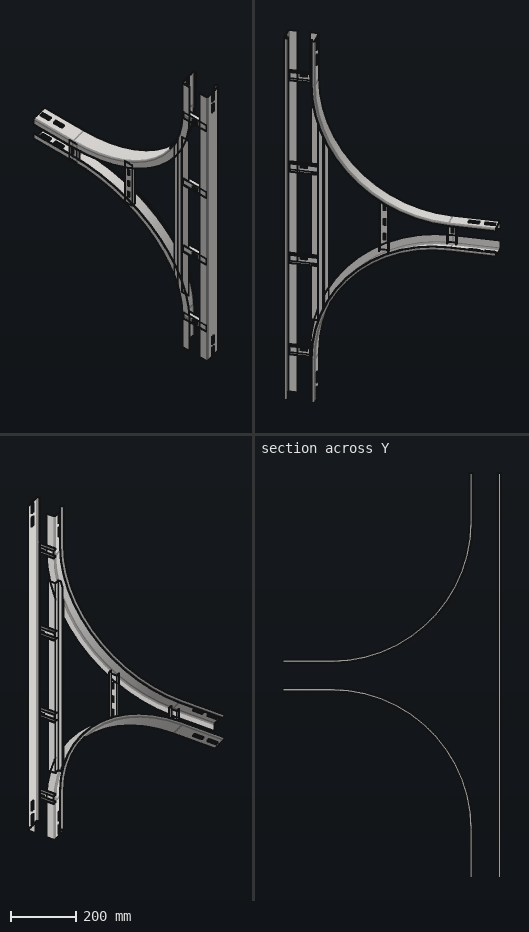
import cadquery as cq
import math


run_length = 1240.0
tray_width = 99.0
arm_length = 150.0
rail_opening = 56.0
rail_sheet = 2.0
rail_bend = 2.0
front_flange = 30.0
back_flange = 12.0
lip_depth = 10.0

rung_sheet = 1.5
rung_width = 30.0
rung_depth = 15.0
rung_end_gap = 6.0
rung_slot_length = 21.0
rung_slot_width = 6.0
rung_slot_pitch = 51.0
wide_rung_x = 365.0
wide_rung_length = 191.0

rail_slot_length = 32.0
rail_slot_width = 11.0
rail_slot_offsets = (25.0, 76.0)

brace_length = 727.0
brace_lip = 15.0
brace_groove = 14.0
brace_flange = 27.0
brace_depth = 19.0
brace_edge_gap = 4.0
inner_rung_lap = 22.0

rail_height = rail_opening + 2 * rail_sheet
curve_radius = run_length / 2 - tray_width / 2 - arm_length
near_web_x = arm_length + curve_radius
far_web_x = near_web_x + tray_width
curve_center_z = tray_width / 2 + curve_radius
seat_y = -rail_opening / 2
rung_pitch = 2 * curve_center_z / 3
brace_edge_x = near_web_x + front_flange - brace_edge_gap
slot_cut_depth = 4 * rail_sheet


def folded_section(path, sheet, bend_inner):
    """Face of a bent sheet: its thickness lies to the left of `path`, with every bend rounded."""
    bend_outer = bend_inner + sheet
    directions = []
    for (u0, v0), (u1, v1) in zip(path, path[1:]):
        length = math.hypot(u1 - u0, v1 - v0)
        directions.append(((u1 - u0) / length, (v1 - v0) / length))
    other_side = []
    for i, (u, v) in enumerate(path):
        legs = directions[max(i - 1, 0):i + 1]
        other_side.append((u - sheet * sum(d[1] for d in legs), v + sheet * sum(d[0] for d in legs)))
    corners = [cq.Vector(u, v) for u, v in path + other_side[::-1]]
    face = cq.Face.makeFromWires(cq.Wire.makePolygon(corners, close=True))
    for i in range(1, len(path) - 1):
        before, after = directions[i - 1], directions[i]
        turns_left = before[0] * after[1] - before[1] * after[0] > 0
        path_radius, other_radius = (bend_outer, bend_inner) if turns_left else (bend_inner, bend_outer)
        for point, radius in ((path[i], path_radius), (other_side[i], other_radius)):
            if radius > 0:
                face = round_corner(face, point, radius)
    return face


def round_corner(face, point, radius):
    target = cq.Vector(*point)
    corner = min(face.Vertices(), key=lambda vertex: (vertex.Center() - target).Length)
    return face.fillet2D(radius, [corner])


def place(face, origin, x_dir, normal):
    return face.moved(cq.Plane(origin=origin, xDir=x_dir, normal=normal).location)


def extrude_section(face, origin, x_dir, normal, length):
    section = place(face, origin, x_dir, normal)
    return cq.Workplane(cq.Solid.extrudeLinear(section, cq.Vector(*normal) * length))


def box_at(center, size):
    return cq.Workplane().box(*size).translate(center)


def rail_section():
    """C section: U runs from the web's outer face into the tray, V runs along Y."""
    top = rail_height / 2
    return folded_section([
        (back_flange, top - lip_depth),
        (back_flange, top),
        (0, top),
        (0, -top),
        (front_flange, -top),
    ], rail_sheet, rail_bend)


def make_curved_rail():
    """Upper curved rail: an arm along X, a quarter turn, and an arm along Z."""
    half_width = tray_width / 2
    diagonal = curve_radius * math.sqrt(0.5)
    path = cq.Wire.assembleEdges([
        cq.Edge.makeLine(cq.Vector(0, 0, half_width), cq.Vector(arm_length, 0, half_width)),
        cq.Edge.makeThreePointArc(
            cq.Vector(arm_length, 0, half_width),
            cq.Vector(arm_length + diagonal, 0, curve_center_z - diagonal),
            cq.Vector(near_web_x, 0, curve_center_z),
        ),
        cq.Edge.makeLine(
            cq.Vector(near_web_x, 0, curve_center_z), cq.Vector(near_web_x, 0, run_length / 2)
        ),
    ])
    section = place(rail_section(), (0, 0, half_width), (0, 0, -1), (1, 0, 0))
    rail = cq.Workplane(cq.Solid.sweep(section.outerWire(), [], path))
    for offset in rail_slot_offsets:
        x_slot = box_at((offset, 0, half_width), (rail_slot_length, rail_slot_width, slot_cut_depth))
        z_slot = box_at(
            (near_web_x, 0, run_length / 2 - offset),
            (slot_cut_depth, rail_slot_width, rail_slot_length),
        )
        rail = rail.cut(x_slot, clean=False).cut(z_slot, clean=False)
    return rail


def make_straight_rail():
    half = run_length / 2
    rail = extrude_section(rail_section(), (far_web_x, 0, half), (-1, 0, 0), (0, 0, -1), run_length)
    for end in (-1, 1):
        for offset in rail_slot_offsets:
            slot_center = (far_web_x, 0, end * (half - offset))
            rail = rail.cut(box_at(slot_center, (slot_cut_depth, rail_slot_width, rail_slot_length)))
    return rail


def rung_section():
    """Channel open toward +Y, with its slotted web at V = 0."""
    half = rung_width / 2
    return folded_section([(-half, rung_depth), (-half, 0), (half, 0), (half, rung_depth)], rung_sheet, 0)


def make_rung_along_z(x, length, slot_count):
    rung = extrude_section(rung_section(), (x, seat_y, length / 2), (-1, 0, 0), (0, 0, -1), length)
    for i in range(slot_count):
        slot_z = (i - (slot_count - 1) / 2) * rung_slot_pitch
        rung = rung.cut(box_at((x, seat_y, slot_z), (rung_slot_width, slot_cut_depth, rung_slot_length)))
    return rung


def make_rung_along_x(z, start_x):
    end_x = far_web_x - rung_end_gap
    rung = extrude_section(rung_section(), (start_x, seat_y, z), (0, 0, -1), (1, 0, 0), end_x - start_x)
    slot_x = (near_web_x + far_web_x) / 2
    return rung.cut(box_at((slot_x, seat_y, z), (rung_slot_length, slot_cut_depth, rung_slot_width)))


def make_brace():
    """Hat-shaped strip with a narrow and a wide flange, notched for the inner rungs."""
    wide_start = brace_edge_x - brace_flange
    narrow_end = wide_start - brace_groove
    groove_bottom = brace_depth - rung_sheet
    section = folded_section([
        (narrow_end - brace_lip, 0),
        (narrow_end, 0),
        (narrow_end, groove_bottom),
        (wide_start, groove_bottom),
        (wide_start, 0),
        (brace_edge_x, 0),
    ], rung_sheet, 0)
    brace = extrude_section(section, (0, seat_y, -brace_length / 2), (1, 0, 0), (0, 0, 1), brace_length)
    for side in (-1, 1):
        web_space = (
            cq.Workplane("XZ", origin=(arm_length, 0, side * curve_center_z))
            .circle(curve_radius + rail_sheet + rail_bend)
            .extrude(rail_height, both=True)
        )
        notch = box_at(
            (brace_edge_x - inner_rung_lap / 2, seat_y, side * rung_pitch / 2),
            (inner_rung_lap, 2 * rung_depth, rung_width),
        )
        brace = brace.cut(web_space).cut(notch)
    return brace


curved_rail = make_curved_rail()
curved_rails = [curved_rail, curved_rail.mirror("XY")]
straight_rail = make_straight_rail()
brace = make_brace()
narrow_rung = make_rung_along_z(arm_length, tray_width - 2 * rung_end_gap, 1)
wide_rung = make_rung_along_z(wide_rung_x, wide_rung_length, 3)

run_rungs = []
for side in (-1, 1):
    run_rungs.append(make_rung_along_x(side * 1.5 * rung_pitch, near_web_x + rung_end_gap))
    run_rungs.append(make_rung_along_x(side * 0.5 * rung_pitch, brace_edge_x - inner_rung_lap))

result = cq.Compound.makeCompound([
    *[rail.val() for rail in curved_rails],
    straight_rail.val(),
    brace.val(),
    narrow_rung.val(),
    wide_rung.val(),
    *[rung.val() for rung in run_rungs],
])